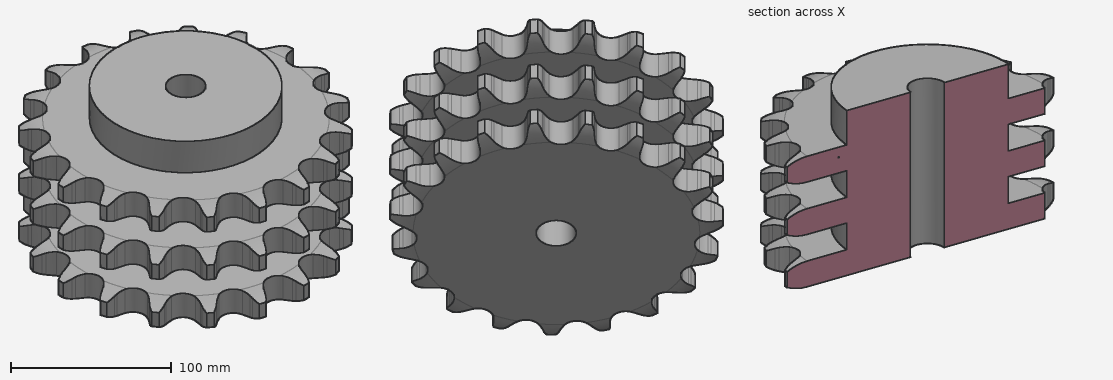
import cadquery as cq
import math


tooth_count = 19
chain_pitch = 31.8
roller_diameter = 19.1
tip_radius = 104.0

row_count = 3
top_row_base = 73.0
row_spacing = top_row_base / (row_count - 1)
row_thickness = 18.3
flat_face_radius = 89.3
edge_round_radius = 32.0

hub_diameter = 120.0
hub_height = 115.0
bore_diameter = 25.0

tooth_angle = 360 / tooth_count
pitch_radius = chain_pitch / (2 * math.sin(math.pi / tooth_count))
seat_radius = 1.005 * roller_diameter / 2
seat_end_angle = -(35 + 60 / tooth_count)
working_angle = 18 - 56 / tooth_count
working_center_offset = 0.8 * roller_diameter
working_radius = working_center_offset + seat_radius
topping_center_offset = 1.4 * roller_diameter

cutter_radius = tip_radius + 1.0


def polar(center, radius, angle):
    """Point at a radius and an angle in degrees around a center."""
    turn = math.radians(angle)
    return (center[0] + radius * math.cos(turn), center[1] + radius * math.sin(turn))


def mirrored(point):
    return (-point[0], point[1])


def topping_end_angle(center, radius):
    """Angle around the topping center at which its arc meets the cutter circle."""
    center_distance = math.hypot(*center)
    center_direction = math.degrees(math.atan2(center[1], center[0]))
    cosine = (cutter_radius**2 - center_distance**2 - radius**2) / (2 * center_distance * radius)
    return center_direction + math.degrees(math.acos(cosine))


def gap_cutter():
    """Cutter for the tooth gap centered on +Y, through the thickness of one row."""
    seat_center = (0, pitch_radius)
    working_center = polar(seat_center, working_center_offset, seat_end_angle + 180)
    topping_center = polar(seat_center, topping_center_offset, -tooth_angle / 2)

    straight_normal = seat_end_angle + working_angle
    seat_end = polar(seat_center, seat_radius, seat_end_angle)
    working_middle = polar(working_center, working_radius, seat_end_angle + working_angle / 2)
    working_end = polar(working_center, working_radius, straight_normal)
    normal = polar((0, 0), 1, straight_normal)
    topping_radius = sum((topping_center[i] - working_end[i]) * normal[i] for i in range(2))
    topping_start_angle = straight_normal + 180
    topping_stop_angle = topping_end_angle(topping_center, topping_radius)
    topping_start = polar(topping_center, topping_radius, topping_start_angle)
    topping_middle = polar(topping_center, topping_radius, (topping_start_angle + topping_stop_angle) / 2)
    topping_end = polar(topping_center, topping_radius, topping_stop_angle)

    return (
        cq.Workplane("XY")
        .moveTo(*mirrored(seat_end))
        .threePointArc((0, pitch_radius - seat_radius), seat_end)
        .threePointArc(working_middle, working_end)
        .lineTo(*topping_start)
        .threePointArc(topping_middle, topping_end)
        .threePointArc((0, cutter_radius), mirrored(topping_end))
        .threePointArc(mirrored(topping_middle), mirrored(topping_start))
        .lineTo(*mirrored(working_end))
        .threePointArc(mirrored(working_middle), mirrored(seat_end))
        .close()
        .extrude(row_thickness)
    )


def row_blank():
    """Disc whose rim is thinned on both faces by arcs tangent to the flat faces."""
    round_width = tip_radius - flat_face_radius
    sweep = math.degrees(math.asin(round_width / edge_round_radius))
    lower_center = (flat_face_radius, edge_round_radius)
    upper_center = (flat_face_radius, row_thickness - edge_round_radius)
    return (
        cq.Workplane("XZ")
        .lineTo(flat_face_radius, 0)
        .threePointArc(
            polar(lower_center, edge_round_radius, sweep / 2 - 90),
            polar(lower_center, edge_round_radius, sweep - 90),
        )
        .lineTo(*polar(upper_center, edge_round_radius, 90 - sweep))
        .threePointArc(
            polar(upper_center, edge_round_radius, 90 - sweep / 2),
            (flat_face_radius, row_thickness),
        )
        .lineTo(0, row_thickness)
        .close()
        .revolve(360, (0, 0, 0), (0, 1, 0))
    )


def toothed_row():
    row = row_blank()
    cutter = gap_cutter()
    for index in range(tooth_count):
        row = row.cut(cutter.rotate((0, 0, 0), (0, 0, 1), index * tooth_angle))
    return row


def sprocket():
    body = cq.Workplane("XY").circle(hub_diameter / 2).extrude(hub_height)
    row = toothed_row()
    for index in range(row_count):
        body = body.union(row.translate((0, 0, index * row_spacing)))
    bore = cq.Workplane("XY").circle(bore_diameter / 2).extrude(hub_height)
    return body.cut(bore)


result = sprocket()